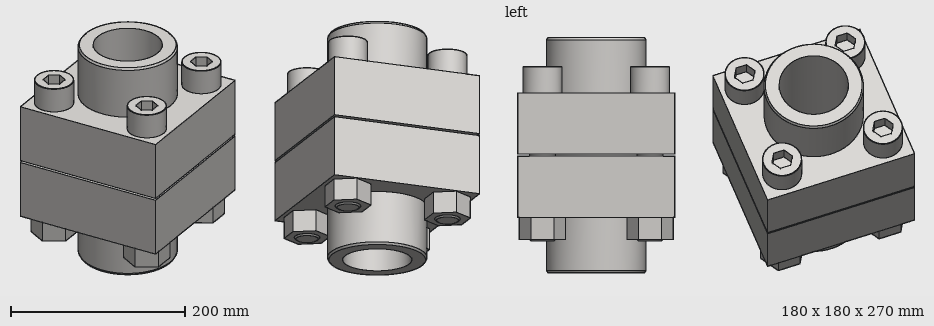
import cadquery as cq
import math

total_height = 270.0
flange_side = 180.0
flange_thickness = 70.2
flange_gap = 2.5

pipe_diameter = 114.2
bore_diameter = 79.5
pipe_chamfer_height = 2.7
pipe_chamfer_width = 1.5

sealing_disc_diameter = 135.0

bolt_spacing = 123.5
bolt_diameter = 30.0
bolt_length = 170.0
bolt_end_chamfer = 2.2
head_diameter = 45.0
head_height = bolt_diameter
head_chamfer = 0.5
socket_across_flats = 22.0
socket_depth = head_height / 2
nut_across_flats = 46.2
nut_height = 25.5

flange_top = flange_gap / 2 + flange_thickness
flange_bottom = -flange_top


def cylinder(diameter, z_bottom, height):
    """Cylinder on the Z axis starting at z_bottom."""
    return cq.Workplane("XY").workplane(offset=z_bottom).circle(diameter / 2).extrude(height)


def hexagonal_prism(across_flats, z_bottom, height):
    """Hexagonal prism on the Z axis with two flats facing +X and -X."""
    across_corners = across_flats / math.cos(math.pi / 6)
    prism = cq.Workplane("XY").workplane(offset=z_bottom).polygon(6, across_corners).extrude(height)
    return prism.rotate((0, 0, 0), (0, 0, 1), 30)


def make_flange(z_bottom):
    """Square flange plate."""
    plane = cq.Workplane("XY").workplane(offset=z_bottom)
    return plane.rect(flange_side, flange_side).extrude(flange_thickness)


def make_pipe():
    """Solid pipe through both flanges, with a chamfered rim at each end."""
    half_height = total_height / 2
    radius = pipe_diameter / 2
    rim_radius = radius - pipe_chamfer_width
    shoulder = half_height - pipe_chamfer_height
    half_section = [
        (0, -half_height),
        (rim_radius, -half_height),
        (radius, -shoulder),
        (radius, shoulder),
        (rim_radius, half_height),
        (0, half_height),
    ]
    return cq.Workplane("XZ").polyline(half_section).close().revolve(360, (0, 0, 0), (0, 1, 0))


def make_bolt():
    """Socket head bolt with its nut, on the Z axis."""
    shank = cylinder(bolt_diameter, flange_top - bolt_length, bolt_length)
    shank = shank.faces("<Z").chamfer(bolt_end_chamfer)
    head = cylinder(head_diameter, flange_top, head_height).faces(">Z").chamfer(head_chamfer)
    socket = hexagonal_prism(socket_across_flats, flange_top + head_height - socket_depth, socket_depth)
    nut = hexagonal_prism(nut_across_flats, flange_bottom - nut_height, nut_height)
    return shank.union(head.cut(socket)).union(nut)


body = make_flange(flange_gap / 2).union(make_flange(flange_bottom))
body = body.union(cylinder(sealing_disc_diameter, -flange_gap / 2, flange_gap))
body = body.union(make_pipe())
body = body.cut(cylinder(bore_diameter, -total_height / 2, total_height))

bolt = make_bolt()
for x_side in (-1, 1):
    for y_side in (-1, 1):
        position = (x_side * bolt_spacing / 2, y_side * bolt_spacing / 2, 0)
        body = body.union(bolt.translate(position))

result = body